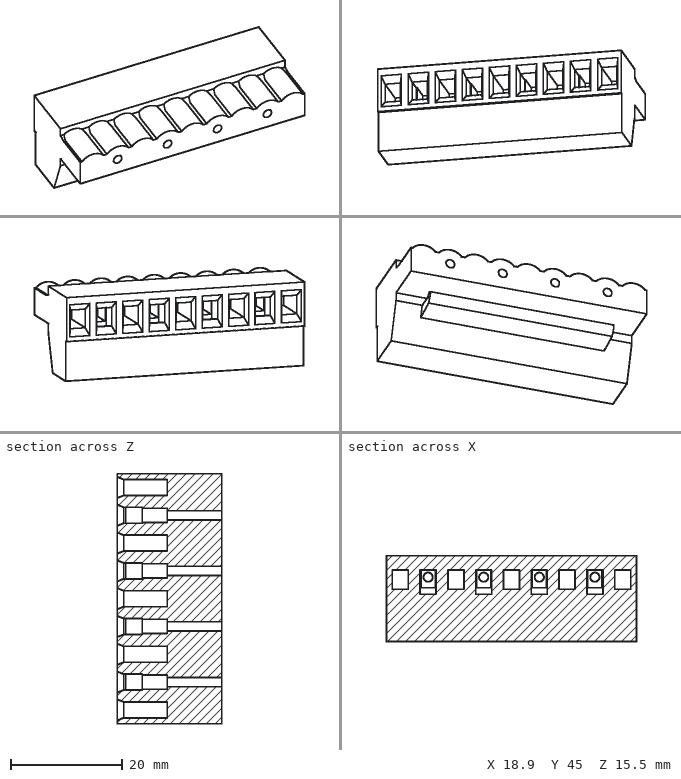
import cadquery as cq
import math

pole_count = 9
body_length = 45.0
pitch = body_length / pole_count

total_depth = 18.85
total_height = 15.5
housing_depth = 10.75
face_step = 0.55
face_step_height = 7.4
foot_depth = 8.15
slant_top = 6.98

sleeve_bottom = 8.6
sleeve_crest = 14.55
valley_height = 13.55
sleeve_width = 4.3
ramp_length = 1.3
ramp_rise = 0.35

mouth_width = 3.8
mouth_height = 5.9
mouth_bottom = 8.25
mouth_depth = 1.15
pocket_width = 2.85
pocket_height = 3.4
pocket_depth = 9.0

lip_depth = 1.58
floor_drop = 0.9
clamp_face_depth = 4.5
clamp_width = 2.5
clamp_height = 3.2
contact_diameter = 1.6
contact_height = 11.6

latch_join_depth = 9.45
latch_join_height = 4.75
latch_bend = (14.2, 5.5)
latch_top_bend = (13.7, slant_top)
latch_tip_center = (14.65, 7.0)
latch_tip_radius = 0.55
latch_tip_start_angle = 125.0
latch_tip_end_angle = -40.0

mouth_center_height = mouth_bottom + mouth_height / 2
pocket_bottom = mouth_center_height - pocket_height / 2
pocket_top = pocket_bottom + pocket_height


def pole_center(index):
    return (index + 0.5) * pitch


def along_body(points):
    """Extrude a closed XZ outline along Y over the full body length."""
    return cq.Workplane("XZ").polyline(points).close().extrude(-body_length)


def pocket_box(x_range, y_center, width, z_range):
    """Box centred on a pole and spanning the given X and Z ranges."""
    x_start, x_end = x_range
    z_start, z_end = z_range
    corner = (x_start, y_center - width / 2, z_start)
    box = cq.Workplane("XY").box(x_end - x_start, width, z_end - z_start, centered=False)
    return box.translate(corner)


def make_housing():
    outline = [
        (face_step, 0),
        (foot_depth, 0),
        (housing_depth, slant_top),
        (housing_depth, total_height),
        (0, total_height),
        (0, face_step_height),
        (face_step, face_step_height),
    ]
    return along_body(outline)


def make_sleeve_base():
    """Slab below the sleeve arcs, ramping up where it meets the housing."""
    outline = [
        (housing_depth, sleeve_bottom),
        (total_depth, sleeve_bottom),
        (total_depth, valley_height),
        (housing_depth + ramp_length, valley_height),
        (housing_depth, valley_height + ramp_rise),
    ]
    return along_body(outline)


def make_sleeve(y_center):
    half_width = sleeve_width / 2
    middle_height = (sleeve_bottom + valley_height) / 2
    return (
        cq.Workplane("YZ", origin=(housing_depth, 0, 0))
        .moveTo(y_center - half_width, middle_height)
        .lineTo(y_center - half_width, valley_height)
        .threePointArc((y_center, sleeve_crest), (y_center + half_width, valley_height))
        .lineTo(y_center + half_width, middle_height)
        .close()
        .extrude(total_depth - housing_depth)
    )


def latch_tip_point(angle):
    x_center, z_center = latch_tip_center
    turn = math.radians(angle)
    return (x_center + latch_tip_radius * math.cos(turn), z_center + latch_tip_radius * math.sin(turn))


def make_latch():
    """Hooked bar along Y, one pitch short of each end of the housing."""
    middle_angle = (latch_tip_start_angle + latch_tip_end_angle) / 2
    return (
        cq.Workplane("XZ", origin=(0, pitch, 0))
        .moveTo(latch_join_depth, latch_join_height)
        .lineTo(latch_join_depth, slant_top)
        .lineTo(*latch_top_bend)
        .lineTo(*latch_tip_point(latch_tip_start_angle))
        .threePointArc(latch_tip_point(middle_angle), latch_tip_point(latch_tip_end_angle))
        .lineTo(*latch_bend)
        .close()
        .extrude(-(body_length - 2 * pitch))
    )


def make_mouth(y_center):
    return (
        cq.Workplane("YZ")
        .center(y_center, mouth_center_height)
        .rect(mouth_width, mouth_height)
        .workplane(offset=mouth_depth)
        .rect(pocket_width, pocket_height)
        .loft(ruled=True)
    )


def make_plain_pocket(y_center):
    return pocket_box((mouth_depth, pocket_depth), y_center, pocket_width, (pocket_bottom, pocket_top))


def make_clamp_pocket(y_center):
    lip = pocket_box((mouth_depth, lip_depth), y_center, pocket_width, (pocket_bottom, pocket_top))
    chamber = pocket_box(
        (lip_depth, clamp_face_depth),
        y_center,
        pocket_width,
        (pocket_bottom - floor_drop, pocket_top),
    )
    clamp = pocket_box(
        (clamp_face_depth, pocket_depth),
        y_center,
        clamp_width,
        (pocket_top - clamp_height, pocket_top),
    )
    contact = (
        cq.Workplane("YZ", origin=(pocket_depth, 0, 0))
        .center(y_center, contact_height)
        .circle(contact_diameter / 2)
        .extrude(total_depth - pocket_depth)
    )
    return lip.union(chamber).union(clamp).union(contact)


result = make_housing().union(make_sleeve_base()).union(make_latch())
for pole in range(pole_count):
    result = result.union(make_sleeve(pole_center(pole)))

for pole in range(pole_count):
    y_center = pole_center(pole)
    has_contact = pole % 2 == 1
    pocket = make_clamp_pocket(y_center) if has_contact else make_plain_pocket(y_center)
    result = result.cut(make_mouth(y_center)).cut(pocket)